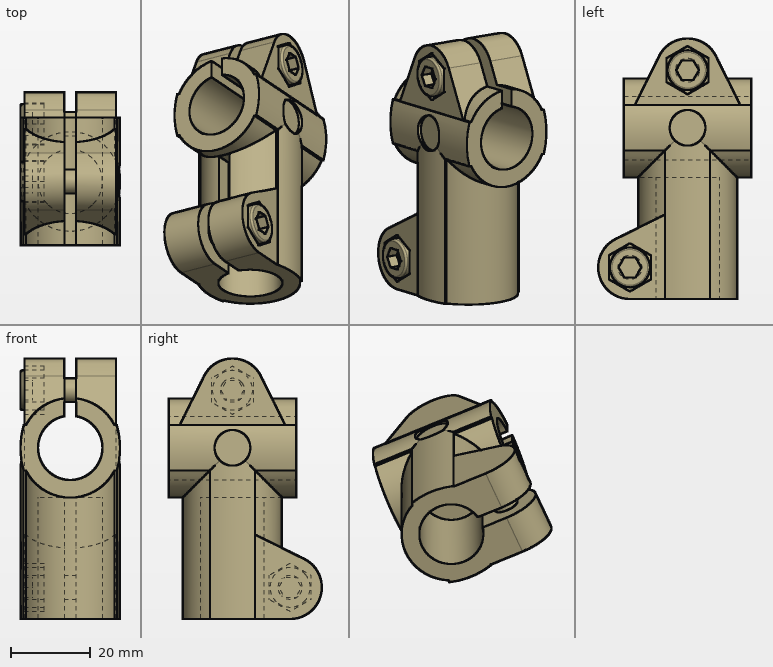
import cadquery as cq
import math

HEIGHT = 65.5
TUBE_DIA = 25.0
BORE_DIA = 16.1
SLEEVE_LENGTH = 32.1
EAR_RADIUS = 8.0
EAR_WIDTH = 23.05
SLIT_WIDTH = 3.0
SCREW_OFFSET = 14.5

PAD_WIDTH = 11.4
PAD_CROWN_RADIUS = 20.0
DIMPLE_DIA = 9.0

SHANK_DIA = 6.0
HEAD_DIA = 10.0
HEAD_EDGE_RADIUS = 0.5
SOCKET_FLATS = 5.0
SOCKET_DEPTH = 3.0
POCKET_FLATS = 10.5
POCKET_DEPTH = 5.0

tube_radius = TUBE_DIA / 2
half_length = SLEEVE_LENGTH / 2
half_ear_width = EAR_WIDTH / 2
upper_screw_z = HEIGHT - EAR_RADIUS
cross_axis_z = upper_screw_z - SCREW_OFFSET
upright_bore_top = cross_axis_z - tube_radius
lower_screw_z = EAR_RADIUS
screw_centers = [(0, upper_screw_z), (SCREW_OFFSET, lower_screw_z)]

screw_distance = math.hypot(SCREW_OFFSET, half_length)
side_angle = math.atan2(SCREW_OFFSET, half_length) + math.asin(EAR_RADIUS / screw_distance)
tangent_along = EAR_RADIUS * math.sin(side_angle)
tangent_out = EAR_RADIUS * math.cos(side_angle)


def sleeve_body(plane, start, length):
    """Round tube body with its two crowned pads, before boring."""
    pad_edge = PAD_WIDTH / 2
    crown_rise = PAD_CROWN_RADIUS - math.sqrt(PAD_CROWN_RADIUS**2 - pad_edge**2)
    pad_side = tube_radius - crown_rise
    tube = cq.Workplane(plane, origin=start).circle(tube_radius).extrude(length)
    pads = (
        cq.Workplane(plane, origin=start)
        .moveTo(-pad_side, -pad_edge)
        .lineTo(pad_side, -pad_edge)
        .threePointArc((tube_radius, 0), (pad_side, pad_edge))
        .lineTo(-pad_side, pad_edge)
        .threePointArc((-tube_radius, 0), (-pad_side, -pad_edge))
        .close()
        .extrude(length)
    )
    return tube.union(pads)


def upper_ears():
    """Ear block on top of the cross sleeve, both sides slanted."""
    return (
        cq.Workplane("YZ")
        .moveTo(-half_length, cross_axis_z)
        .lineTo(-tangent_along, upper_screw_z + tangent_out)
        .threePointArc((0, HEIGHT), (tangent_along, upper_screw_z + tangent_out))
        .lineTo(half_length, cross_axis_z)
        .close()
        .extrude(half_ear_width, both=True)
    )


def lower_ears():
    """Ear block on the +Y side of the upright sleeve, flush with its bottom end."""
    return (
        cq.Workplane("YZ")
        .lineTo(SCREW_OFFSET, 0)
        .threePointArc(
            (SCREW_OFFSET + EAR_RADIUS, lower_screw_z),
            (SCREW_OFFSET + tangent_out, lower_screw_z + tangent_along),
        )
        .lineTo(0, lower_screw_z + half_length)
        .close()
        .extrude(half_ear_width, both=True)
    )


def hexagon_prism(center, flats, x_start, length, point_angle):
    """Hexagonal prism along +X with a corner at point_angle from the Y axis."""
    y, z = center
    corner_dia = flats / math.cos(math.pi / 6)
    return (
        cq.Workplane("YZ", origin=(x_start, y, z))
        .transformed(rotate=(0, 0, point_angle))
        .polygon(6, corner_dia)
        .extrude(length)
    )


def screw(center):
    """Socket screw with its head flush with the widest part of the sleeves on the -X side."""
    y, z = center
    head_face = -tube_radius
    pocket_floor = -half_ear_width + POCKET_DEPTH
    head = (
        cq.Workplane("YZ", origin=(head_face, y, z))
        .circle(HEAD_DIA / 2)
        .extrude(pocket_floor - head_face)
        .faces("<X")
        .edges()
        .fillet(HEAD_EDGE_RADIUS)
    )
    shank = (
        cq.Workplane("YZ", origin=(pocket_floor, y, z))
        .circle(SHANK_DIA / 2)
        .extrude(half_ear_width - pocket_floor)
    )
    socket = hexagon_prism(center, SOCKET_FLATS, head_face, SOCKET_DEPTH, 0)
    return head.union(shank).cut(socket)


upright = sleeve_body("XY", (0, 0, 0), cross_axis_z)
cross = sleeve_body("XZ", (0, half_length, cross_axis_z), SLEEVE_LENGTH)
body = upright.union(cross).union(upper_ears()).union(lower_ears())

cross_bore = (
    cq.Workplane("XZ", origin=(0, half_length, cross_axis_z))
    .circle(BORE_DIA / 2)
    .extrude(SLEEVE_LENGTH)
)
upright_bore = cq.Workplane("XY").circle(BORE_DIA / 2).extrude(upright_bore_top)
body = body.cut(cross_bore).cut(upright_bore)

upper_slit = cq.Workplane("XY", origin=(0, 0, cross_axis_z)).box(
    SLIT_WIDTH, SLEEVE_LENGTH, HEIGHT - cross_axis_z, centered=(True, True, False)
)
lower_slit = cq.Workplane("XY").box(
    SLIT_WIDTH, SCREW_OFFSET + EAR_RADIUS, upright_bore_top, centered=(True, False, False)
)
body = body.cut(upper_slit).cut(lower_slit)

for x_start in (half_ear_width, -tube_radius):
    dimple = (
        cq.Workplane("YZ", origin=(x_start, 0, cross_axis_z))
        .circle(DIMPLE_DIA / 2)
        .extrude(tube_radius - half_ear_width)
    )
    body = body.cut(dimple)

for center in screw_centers:
    pocket = hexagon_prism(center, POCKET_FLATS, -half_ear_width, POCKET_DEPTH, 90)
    body = body.cut(pocket).union(screw(center))

result = body